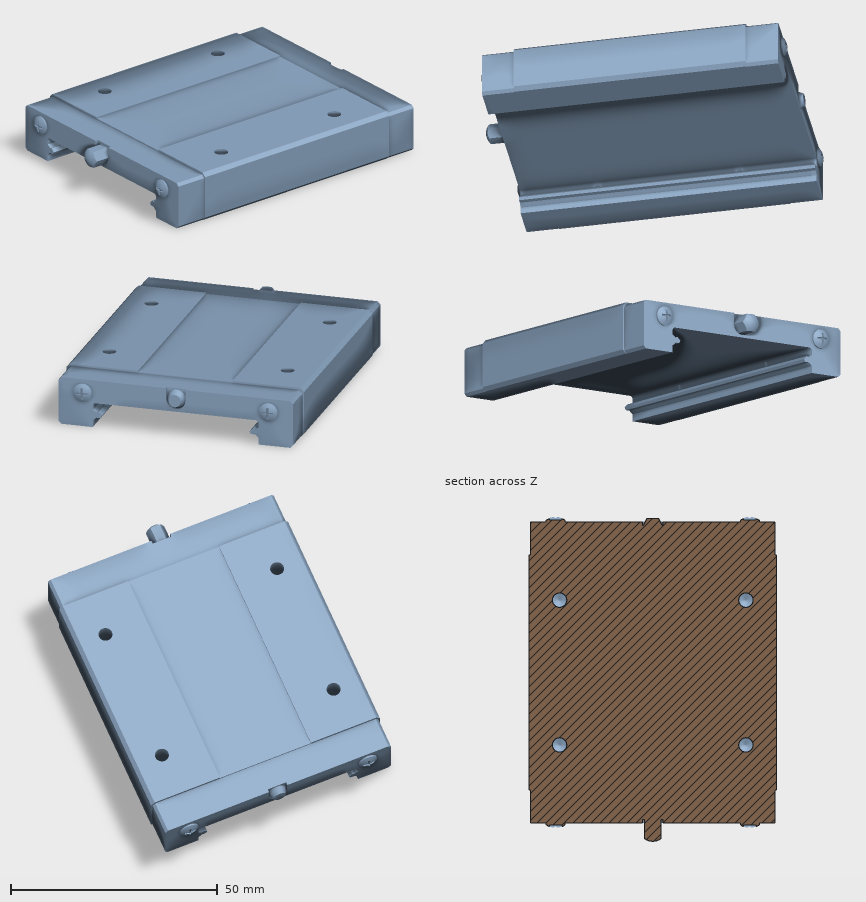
import cadquery as cq
import math


overall_length = 78.5

width = 60.0
height = 12.6
block_length = 57.0
edge_chamfer = 0.95
strip_width = 23.85
strip_depth = 0.3

cap_length = 7.9
front_plate_length = 1.6
back_plate_length = 1.4
cap_side_inset = 0.4
cap_top_inset = 0.6
cap_chamfer = 0.7

channel_half_width = 20.95
channel_height = 6.2
channel_fillet = 0.8
lip_root_top = 4.5
lip_root_bottom = 1.7
lip_neck_x = 20.0
lip_neck_top = 3.8
lip_neck_bottom = 2.5
lip_barb_x = 19.5
lip_barb_z = 4.0
lip_tip_x = 18.6
lip_tip_z = 3.1
lip_toe_x = 19.0

hole_diameter = 3.4
hole_depth = 7.85
hole_point_angle = 118
hole_pitch_x = 45.05
hole_pitch_y = 35.0

port_z = 9.25
port_radius = 2.4
port_depth = 0.8
nipple_dome = 1.0
plug_base_radius = 2.35
plug_end_radius = 1.6
plug_reach = 0.95

screw_x = 23.5
screw_z = 8.6
head_radius = 2.35
head_rim = 0.4
head_height = 1.2
cross_length = 2.8
cross_width = 0.55
cross_depth = 0.7

cap_end_y = block_length / 2 + cap_length
whole_length = 2 * cap_end_y


def dome_radius(base_radius, rise):
    """Radius of the sphere whose cap has this base radius and rise."""
    return (base_radius**2 + rise**2) / (2 * rise)


head_sphere = dome_radius(head_radius, head_height - head_rim)
cross_corner = cross_width / math.sqrt(2)
head_reach = head_height - head_sphere + math.sqrt(head_sphere**2 - cross_corner**2)
nipple_reach = overall_length - whole_length - head_reach


def end_plane(side, x, z, y):
    """Sketch plane facing outward at one end (side -1 is the front, +1 the back)."""
    return cq.Plane(origin=(x, side * y, z), xDir=(1, 0, 0), normal=(0, side, 0))


def chamfered_bar(bar_width, bar_height, start_y, length, chamfer):
    """Bar along Y standing on Z = 0 with its four long edges chamfered."""
    bar = cq.Workplane("XY").box(bar_width, length, bar_height, centered=(True, False, False))
    return bar.edges("|Y").chamfer(chamfer).translate((0, start_y, 0))


def dome(plane, radius, rim, rise):
    """Short cylinder on the plane, topped by a spherical cap."""
    sphere_radius = dome_radius(radius, rise)
    half_angle = math.asin(radius / sphere_radius) / 2
    mid_x = sphere_radius * math.sin(half_angle)
    mid_y = rim + rise - sphere_radius * (1 - math.cos(half_angle))
    profile = (
        cq.Workplane(cq.Plane(plane.origin, plane.xDir, plane.xDir.cross(plane.zDir)))
        .lineTo(radius, 0)
        .lineTo(radius, rim)
        .threePointArc((mid_x, mid_y), (0, rim + rise))
        .close()
    )
    return profile.revolve(360, (0, 0, 0), (0, 1, 0))


def carriage_block():
    block = chamfered_bar(width, height, -block_length / 2, block_length, edge_chamfer)
    strip = cq.Workplane("XY").box(strip_width, block_length, strip_depth)
    return block.cut(strip.translate((0, 0, height - strip_depth / 2)))


def cap_section(start_y, length):
    return chamfered_bar(
        width - 2 * cap_side_inset, height - cap_top_inset, start_y, length, cap_chamfer
    )


def rail_channel():
    channel = (
        cq.Workplane("XZ")
        .rect(2 * channel_half_width, 2 * channel_height)
        .extrude(whole_length / 2, both=True)
    )
    return channel.edges("|Y and >Z").fillet(channel_fillet)


def sealing_lip():
    """Barbed lip on the -X wall of the channel."""
    outline = [
        (-channel_half_width, lip_root_top),
        (-lip_neck_x, lip_neck_top),
        (-lip_barb_x, lip_barb_z),
        (-lip_tip_x, lip_tip_z),
        (-lip_toe_x, lip_neck_bottom),
        (-lip_neck_x, lip_neck_bottom),
        (-channel_half_width, lip_root_bottom),
    ]
    return cq.Workplane("XZ").polyline(outline).close().extrude(whole_length / 2, both=True)


def mounting_holes():
    radius = hole_diameter / 2
    point_depth = radius / math.tan(math.radians(hole_point_angle / 2))
    hole = (
        cq.Workplane("XZ")
        .moveTo(0, height)
        .lineTo(radius, height)
        .lineTo(radius, height - hole_depth)
        .lineTo(0, height - hole_depth - point_depth)
        .close()
        .revolve(360, (0, 0, 0), (0, 1, 0))
    )
    holes = cq.Workplane("XY")
    for side_x in (-1, 1):
        for side_y in (-1, 1):
            holes = holes.add(hole.translate((side_x * hole_pitch_x / 2, side_y * hole_pitch_y / 2, 0)))
    return holes.combine()


def port_slot(side):
    """Round-bottomed slot in the cap end, open to the top."""
    plane = end_plane(side, 0, port_z, cap_end_y)
    slot_rise = height - port_z
    bore = cq.Workplane(plane).circle(port_radius).extrude(-port_depth)
    opening = cq.Workplane("XY").box(2 * port_radius, port_depth, slot_rise, centered=(True, True, False))
    return bore.union(opening.translate((0, side * (cap_end_y - port_depth / 2), port_z)))


def grease_nipple():
    """Hexagonal nipple with a domed tip, corners pointing along X."""
    plane = end_plane(-1, 0, port_z, cap_end_y - port_depth)
    length = port_depth + nipple_reach
    hexagon = cq.Workplane(plane).polygon(6, 2 * port_radius).extrude(length)
    return hexagon.intersect(dome(plane, port_radius, length - nipple_dome, nipple_dome))


def grease_plug():
    plane = end_plane(1, 0, port_z, cap_end_y - port_depth)
    return (
        cq.Workplane(plane)
        .circle(plug_base_radius)
        .workplane(offset=port_depth + plug_reach)
        .circle(plug_end_radius)
        .loft()
    )


def cap_screw(side, x):
    plane = end_plane(side, x, screw_z, cap_end_y)
    head = dome(plane, head_radius, head_rim, head_height - head_rim)
    recess = cq.Workplane(plane).workplane(offset=head_height - cross_depth)
    for arm in ((cross_length, cross_width), (cross_width, cross_length)):
        head = head.cut(recess.rect(*arm).extrude(cross_depth, combine=False))
    return head


result = carriage_block()
cap_sections = (
    (-cap_end_y, front_plate_length),
    (-cap_end_y + front_plate_length, cap_length - front_plate_length),
    (block_length / 2, cap_length - back_plate_length),
    (cap_end_y - back_plate_length, back_plate_length),
)
for start_y, length in cap_sections:
    result = result.union(cap_section(start_y, length), clean=False)

lip = sealing_lip()
channel = rail_channel().cut(lip).cut(lip.mirror("YZ"))
result = result.cut(channel, clean=False).cut(mounting_holes(), clean=False)

for side in (-1, 1):
    result = result.cut(port_slot(side), clean=False)
    for x in (-screw_x, screw_x):
        result = result.union(cap_screw(side, x), clean=False)

result = result.union(grease_nipple(), clean=False).union(grease_plug(), clean=False)